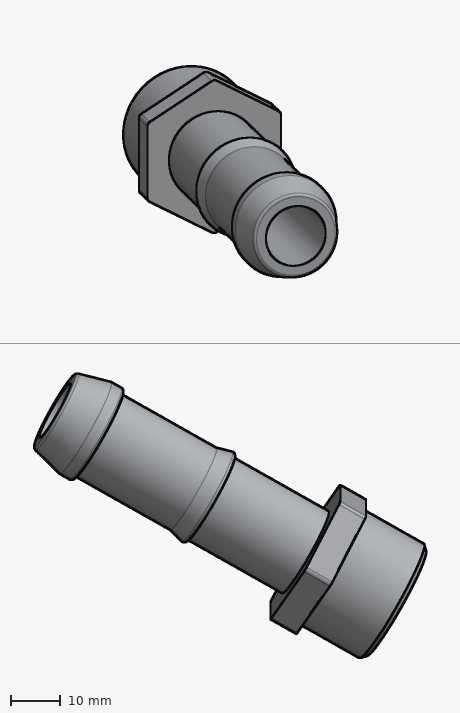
import cadquery as cq

total_length = 79.0
bore_diameter = 12.5

body_diameter = 26.4
body_length = 15.0
body_chamfer = 1.0

hex_across_flats = 28.0
hex_thickness = 6.0
hex_corner_radius = 1.0

tube_diameter = 18.95
barb_edge_radius = 0.6
middle_barb_start = 43.0
middle_barb_length = 4.0
middle_barb_diameter = 21.2
end_barb_start = 69.0
end_barb_land = 3.0
end_barb_diameter = 21.2
tip_diameter = 17.4


def cylinder(start, length, diameter):
    """Round bar along X from the given start."""
    return cq.Workplane("YZ", origin=(start, 0, 0)).circle(diameter / 2).extrude(length)


def turned(profile):
    """Solid turned about X from (x, diameter) stations."""
    outline = [(x, diameter / 2) for x, diameter in profile]
    points = [(profile[0][0], 0)] + outline + [(profile[-1][0], 0)]
    return cq.Workplane("XY").polyline(points).close().revolve(360, (0, 0, 0), (1, 0, 0))


def hexagon():
    return (
        cq.Workplane("YZ", origin=(body_length, 0, 0))
        .polygon(6, hex_across_flats, circumscribed=True)
        .extrude(hex_thickness)
        .edges("|X")
        .fillet(hex_corner_radius)
    )


def middle_barb():
    barb = turned([
        (middle_barb_start, middle_barb_diameter),
        (middle_barb_start + middle_barb_length, tube_diameter),
    ])
    return barb.faces("<X").edges().fillet(barb_edge_radius)


def end_barb():
    barb = turned([
        (end_barb_start, end_barb_diameter),
        (end_barb_start + end_barb_land, end_barb_diameter),
        (total_length, tip_diameter),
    ])
    return barb.faces("<X or >X").edges().fillet(barb_edge_radius)


body = cylinder(0, body_length, body_diameter).faces("<X").chamfer(body_chamfer)
tube = cylinder(body_length, end_barb_start - body_length, tube_diameter)
bore = cylinder(0, total_length, bore_diameter)

result = body.union(hexagon()).union(tube).union(middle_barb()).union(end_barb()).cut(bore)